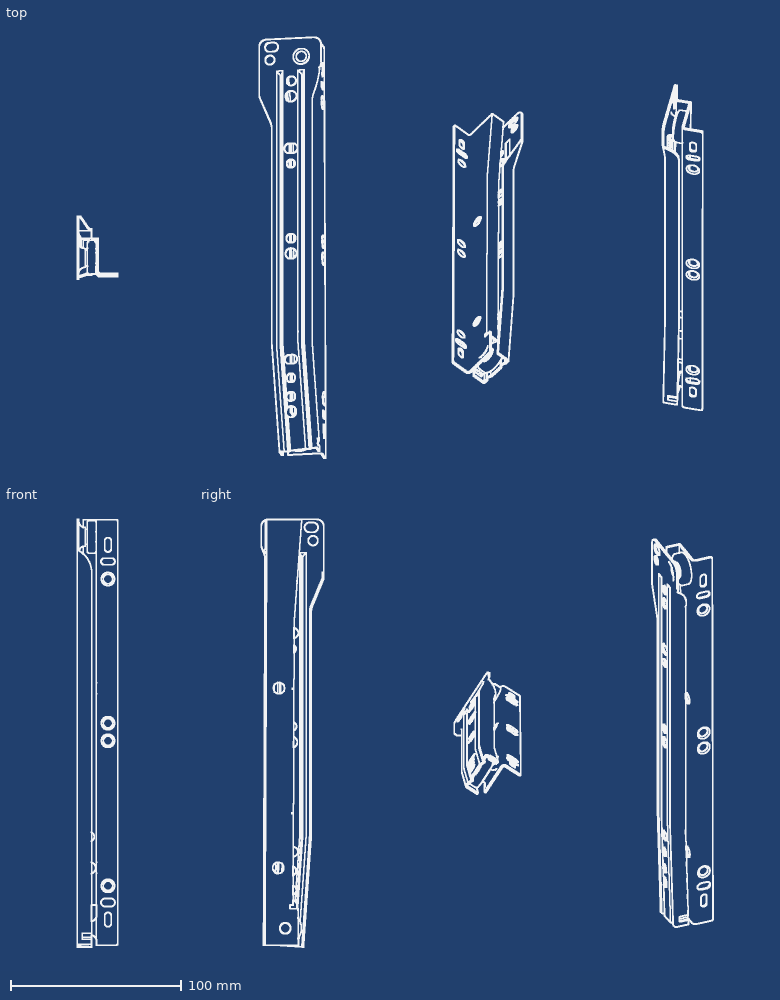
import cadquery as cq
import math

LENGTH = 251.0
DEPTH = 23.9
PLATE_WIDTH = 37.0
SHEET = 1.0

CHANNEL_DEPTH = 8.5
CHANNEL_LEFT = 11.0
CHANNEL_RIGHT = -11.8
CHANNEL_BEND = 1.0
KINK_Z = 65.8
KINK_ANGLE = 4.0
HEAD_CORNER = 4.3
LEFT_WING_TOP = 216.5
RIGHT_WING_TOP = 235.3
WING_FALL = 17.8
WING_BEND = 10.0
RIGHT_TAPER_ARC = 15.0
RIGHT_TAPER_START = 219.7
LEFT_TAPER_START = 193.3
LEFT_TAPER_END = 220.0
HEAD_BOTTOM = 190.8

BEAD_STARTS = (8.0, -4.8)
BEAD_LONG_SIDE = 2.0
BEAD_FLOOR = 0.8
BEAD_SHORT_SIDE = 1.0
BEAD_DEPTH = 1.0
BEAD_TOP = 231.5
BEAD_RUNOUT = 2.3

WEB_HOLES = (
    (11.0, 246.3, 7.8, 5.5),
    (12.0, 238.5, 5.5, 5.5),
    (-0.8, 225.2, 5.5, 5.5),
    (-0.5, 216.0, 6.5, 6.5),
    (-0.5, 184.3, 7.8, 6.0),
    (-0.5, 175.0, 5.0, 5.0),
    (-0.5, 129.5, 5.5, 5.5),
    (-0.5, 120.3, 6.5, 6.5),
    (-0.5, 56.0, 7.3, 5.5),
    (-0.5, 44.7, 4.8, 5.5),
    (-0.5, 33.5, 5.3, 5.5),
    (-0.5, 24.0, 6.3, 6.8),
)

DENT_TOP = 8.0
DENT_VALLEY = 5.8
DENT_BOTTOM = 4.5
DENT_DEPTH = 1.3
DENT_START = 3.0

WEB_X = 11.3
ANGLE_RIGHT = -16.5
ANGLE_LEFT = 0.8
ANGLE_BOTTOM = 1.0
ANGLE_TOP = 250.8
ANGLE_BEND = 2.3
FLANGE_CORNER = 1.0
ANGLE_LEAN = 0.23
RUN_DEPTH = 8.8
FLARE_Z = 191.3
FLARE_ANGLE = 4.0
RUN_BOTTOM = 24.5
RELIEF_BOTTOM = 22.5
RELIEF_DEPTH = 1.8
FOOT_LEFT = 3.8

MOUNT_X = 18.0
SCREW_HEIGHTS = (216.0, 131.3, 121.0, 36.0)
SCREW_DIAMETER = 5.5
SINK_DIAMETER = 7.8
SLOTS = ((236.0, 3.8, 8.3), (226.2, 8.0, 3.8), (26.0, 8.0, 4.5), (16.0, 3.8, 8.3))

ANGLE_HOLE_Y = -8.0
ANGLE_HOLE_HEIGHTS = (152.0, 46.5)
ANGLE_HOLE_DIAMETER = 6.5
BUMPS = ((7.3, 64.8, 2.8), (7.3, 46.5, 3.5))
BUMP_HEIGHT = 1.3

CUP_DEPTH = 3.8
UPPER_CUP_TIP = 5.5
LOWER_CUP_TIP = 4.0
CUP_FLARE = 3.3
FLARE_MID_DEPTH = 0.4
FLARE_MID_WIDTH = 0.2
CUP_WALL = 0.8
PIN_RADIUS = 3.0
COLLAR_RADIUS = 4.5
ROLLER_RADIUS = 9.5
ROLLER_WIDTH = 5.0
ROLLER_ROUND = 0.8
UPPER_PIN = (-6.0, 240.8)
LOWER_PIN = (-4.3, 11.0)
UPPER_COLLAR = 1.3
LOWER_COLLAR = 0.3

DIAGONAL = math.sqrt(0.5)

half_width = PLATE_WIDTH / 2
kink = math.radians(KINK_ANGLE)


def yz_prism(points, x_start, x_end):
    """Straight-sided prism along X over a (y, z) outline."""
    return cq.Workplane("YZ", origin=(x_start, 0, 0)).polyline(points).close().extrude(x_end - x_start)


def long_hole(plane, origin, width, height, depth):
    """Round hole, or slot along its longer side, cut symmetrically about its plane."""
    tool = cq.Workplane(plane, origin=origin)
    if width > height:
        tool = tool.slot2D(width, height)
    elif height > width:
        tool = tool.slot2D(height, width, 90)
    else:
        tool = tool.circle(width / 2)
    return tool.extrude(depth, both=True)


def pin_plane(pin_place, x, direction):
    """Plane through a pin axis, with its first direction along the axis."""
    y, z = pin_place
    return cq.Workplane(cq.Plane(origin=(x, y, z), xDir=(direction, 0, 0), normal=(0, 0, 1)))


def turned(profile, pin_place, x, direction):
    """Revolve an (along, radius) outline about the X-parallel axis of a pin."""
    return pin_plane(pin_place, x, direction).polyline(profile).close().revolve(360, (0, 0), (1, 0))


def bead_section(start, x):
    floor_start = start - BEAD_LONG_SIDE
    floor_end = floor_start - BEAD_FLOOR
    return [(x, start), (x + BEAD_DEPTH, floor_start), (x + BEAD_DEPTH, floor_end),
            (x, floor_end - BEAD_SHORT_SIDE)]


def bead_end(start, x):
    """Upper stretch of a bead within the head, cut off by a slope."""
    bead = cq.Workplane("XY", origin=(0, 0, HEAD_BOTTOM)).polyline(bead_section(start, x)).close()
    bead = bead.extrude(BEAD_TOP - HEAD_BOTTOM)
    waste = cq.Workplane("XZ").polyline(
        [(x, BEAD_TOP), (x + BEAD_DEPTH, BEAD_TOP - BEAD_RUNOUT), (x + BEAD_DEPTH, BEAD_TOP)])
    return bead.cut(waste.close().extrude(half_width, both=True))


def channel_section():
    """U-shaped section with rounded outer corners and both beads in its web."""
    outer = cq.Sketch().polygon([
        (0, CHANNEL_LEFT), (CHANNEL_DEPTH, CHANNEL_LEFT), (CHANNEL_DEPTH, CHANNEL_RIGHT),
        (0, CHANNEL_RIGHT), (0, CHANNEL_LEFT),
    ]).vertices("<X").fillet(CHANNEL_BEND).reset()
    inner = [(SHEET, CHANNEL_LEFT - SHEET), (CHANNEL_DEPTH, CHANNEL_LEFT - SHEET),
             (CHANNEL_DEPTH, CHANNEL_RIGHT + SHEET), (SHEET, CHANNEL_RIGHT + SHEET)]
    section = outer.polygon(inner + inner[:1], mode="s")
    for start in BEAD_STARTS:
        ridge = bead_section(start, SHEET)
        groove = bead_section(start, 0)
        section = section.polygon(ridge + ridge[:1]).polygon(groove + groove[:1], mode="s")
    return section


def channel_body():
    """Section carried down the rail, leaning to -Y below the kink."""
    lower_length = (KINK_Z - CHANNEL_LEFT * math.sin(kink)) / math.cos(kink)
    end = (-lower_length * math.sin(kink), KINK_Z - lower_length * math.cos(kink))
    path = cq.Workplane("YZ").moveTo(0, HEAD_BOTTOM).lineTo(0, KINK_Z).lineTo(*end)
    start = cq.Workplane("XY", origin=(0, 0, HEAD_BOTTOM))
    return start.placeSketch(channel_section()).sweep(path, transition="right")


def head_outline(inset):
    """Outline of the wide head, its lower sides moved inward by the inset."""
    return [
        (half_width - inset, LENGTH), (-half_width + inset, LENGTH),
        (-half_width + inset, RIGHT_WING_TOP), (CHANNEL_RIGHT + inset, RIGHT_WING_TOP - WING_FALL),
        (CHANNEL_RIGHT + inset, HEAD_BOTTOM), (CHANNEL_LEFT - inset, HEAD_BOTTOM),
        (CHANNEL_LEFT - inset, LEFT_WING_TOP - WING_FALL), (half_width - inset, LEFT_WING_TOP),
    ]


def head_prism(inset, x_start):
    """Head outline extruded to the flange ends, with a round bend below each wing."""
    prism = yz_prism(head_outline(inset), x_start, CHANNEL_DEPTH)
    for side, wing_top in ((CHANNEL_LEFT - inset, LEFT_WING_TOP), (CHANNEL_RIGHT + inset, RIGHT_WING_TOP)):
        corner = cq.selectors.NearestToPointSelector((CHANNEL_DEPTH / 2, side, wing_top - WING_FALL))
        prism = prism.edges("|X").edges(corner).fillet(WING_BEND)
    return prism


def right_wing_clearance():
    """Space above the -Y sloping flange, whose free edge runs to the plate in an arc."""
    centre_x = CHANNEL_DEPTH - RIGHT_TAPER_ARC
    sweep = math.acos((SHEET - centre_x) / RIGHT_TAPER_ARC)
    rise = RIGHT_TAPER_ARC * math.sin(sweep)
    middle = (centre_x + RIGHT_TAPER_ARC * math.cos(sweep / 2),
              RIGHT_TAPER_START + RIGHT_TAPER_ARC * math.sin(sweep / 2))
    profile = cq.Workplane("XZ").moveTo(CHANNEL_DEPTH, RIGHT_TAPER_START)
    profile = profile.threePointArc(middle, (SHEET, RIGHT_TAPER_START + rise))
    return profile.lineTo(SHEET, LENGTH).lineTo(CHANNEL_DEPTH, LENGTH).close().extrude(half_width)


def left_wing_clearance():
    """Space above the +Y sloping flange, whose free edge runs straight to the plate."""
    profile = cq.Workplane("XZ").polyline([
        (CHANNEL_DEPTH, LEFT_TAPER_START), (SHEET, LEFT_TAPER_END), (SHEET, LENGTH), (CHANNEL_DEPTH, LENGTH),
    ])
    return profile.close().extrude(-half_width)


def flange_bends():
    """Selects the web edges that run below the top of each wing."""
    reach = CHANNEL_BEND / 2
    left = cq.selectors.BoxSelector((-reach, 0, 0), (reach, half_width - reach, LEFT_WING_TOP))
    right = cq.selectors.BoxSelector((-reach, reach - half_width, 0), (reach, 0, RIGHT_WING_TOP))
    ends = cq.selectors.DirectionMinMaxSelector(cq.Vector(0, 0, 1), False)
    return left + right - ends


def channel_head():
    head = head_prism(0, 0)
    head = head.edges("|X").edges(">Z").fillet(HEAD_CORNER)
    head = head.edges(flange_bends()).fillet(CHANNEL_BEND)
    head = head.cut(head_prism(SHEET, SHEET))
    head = head.cut(left_wing_clearance()).cut(right_wing_clearance())
    for start in BEAD_STARTS:
        head = head.union(bead_end(start, SHEET)).cut(bead_end(start, 0))
    return head


def flange_dent(inset):
    """V-shaped bar along the -Y flange, which leans below the kink."""
    def surface(z):
        return CHANNEL_RIGHT / math.cos(kink) - (KINK_Z - z) * math.tan(kink) + inset
    outline = [(surface(DENT_TOP), DENT_TOP), (surface(DENT_VALLEY) + DENT_DEPTH, DENT_VALLEY),
               (surface(DENT_BOTTOM), DENT_BOTTOM)]
    return yz_prism(outline, DENT_START, CHANNEL_DEPTH)


def make_channel_rail():
    rail = channel_body().union(channel_head())
    for y, z, width, height in WEB_HOLES:
        rail = rail.cut(long_hole("YZ", (0, y, z), width, height, SHEET + BEAD_DEPTH))
    rail = rail.union(flange_dent(SHEET)).cut(flange_dent(0))
    return add_cup(rail, UPPER_PIN, 0, 1, UPPER_CUP_TIP)


def cup_body(start, end, end_radius, pin_place, x, direction):
    """Round plug that widens in an arc towards its start."""
    middle = (start + FLARE_MID_DEPTH * (end - start), end_radius + FLARE_MID_WIDTH * CUP_FLARE)
    profile = pin_plane(pin_place, x, direction).moveTo(start, 0).lineTo(start, end_radius + CUP_FLARE)
    profile = profile.threePointArc(middle, (end, end_radius)).lineTo(end, 0).close()
    return profile.revolve(360, (0, 0), (1, 0))


def add_cup(rail, pin_place, x, direction, tip_radius):
    """Press a flared cup into a web; x is the open face, direction is where the cup points."""
    tip = CUP_DEPTH + SHEET
    place = (pin_place, x, direction)
    shell = cup_body(SHEET, tip, tip_radius, *place)
    hollow = cup_body(0, CUP_DEPTH, tip_radius - CUP_WALL, *place)
    patch_radius = tip_radius + CUP_FLARE
    web_patch = turned([(0, 0), (0, patch_radius), (SHEET, patch_radius), (SHEET, 0)], *place)
    bore = turned([(0, 0), (0, PIN_RADIUS), (tip, PIN_RADIUS), (tip, 0)], *place)
    return rail.union(web_patch).union(shell).cut(hollow).cut(bore)


def make_pin(pin_place, x, direction, collar):
    """Pin from the cup floor through a collar to the far face of its roller."""
    collar_start = CUP_DEPTH + SHEET
    collar_end = collar_start + collar
    end = collar_end + ROLLER_WIDTH
    return turned([
        (CUP_DEPTH, 0), (CUP_DEPTH, PIN_RADIUS), (collar_start, PIN_RADIUS), (collar_start, COLLAR_RADIUS),
        (collar_end, COLLAR_RADIUS), (collar_end, PIN_RADIUS), (end, PIN_RADIUS), (end, 0),
    ], pin_place, x, direction)


def make_roller(pin_place, x, direction, collar):
    start = CUP_DEPTH + SHEET + collar
    end = start + ROLLER_WIDTH
    roller = turned([(start, PIN_RADIUS), (start, ROLLER_RADIUS), (end, ROLLER_RADIUS), (end, PIN_RADIUS)],
                    pin_place, x, direction)
    rims = cq.selectors.RadiusNthSelector(-1)
    return roller.edges("%CIRCLE").edges(rims).fillet(ROLLER_ROUND)


def run_edge(inset):
    """(y, z) points up the running flange, moved inward by the inset."""
    flare = (ANGLE_TOP - FLARE_Z) * math.tan(math.radians(FLARE_ANGLE))
    left = ANGLE_LEFT - inset
    return [(left, RUN_BOTTOM), (left, FLARE_Z), (left + flare, ANGLE_TOP)]


def angle_web():
    notch = ANGLE_LEFT - RELIEF_DEPTH
    bend_start = ANGLE_RIGHT + ANGLE_BEND
    outline = run_edge(0) + [
        (bend_start, ANGLE_TOP), (bend_start, ANGLE_BOTTOM), (FOOT_LEFT, ANGLE_BOTTOM),
        (FOOT_LEFT, RELIEF_BOTTOM), (notch, RELIEF_BOTTOM), (notch, RUN_BOTTOM),
    ]
    return yz_prism(outline, WEB_X, WEB_X + SHEET)


def running_flange():
    outline = run_edge(0) + run_edge(SHEET)[::-1]
    web_outer = WEB_X + SHEET
    return yz_prism(outline, web_outer - RUN_DEPTH, web_outer)


def mounting_flange():
    """Flange to +X with the rounded bend that joins it to the web."""
    bend_x = WEB_X + ANGLE_BEND
    bend_y = ANGLE_RIGHT + ANGLE_BEND
    inner = ANGLE_BEND - SHEET
    section = (
        cq.Workplane("XY", origin=(0, 0, ANGLE_BOTTOM))
        .moveTo(WEB_X, bend_y)
        .threePointArc((bend_x - ANGLE_BEND * DIAGONAL, bend_y - ANGLE_BEND * DIAGONAL),
                       (bend_x, ANGLE_RIGHT))
        .lineTo(DEPTH, ANGLE_RIGHT)
        .lineTo(DEPTH, ANGLE_RIGHT + SHEET)
        .lineTo(bend_x, ANGLE_RIGHT + SHEET)
        .threePointArc((bend_x - inner * DIAGONAL, bend_y - inner * DIAGONAL), (WEB_X + SHEET, bend_y))
        .close()
    )
    flange = section.extrude(ANGLE_TOP - ANGLE_BOTTOM)
    return flange.edges("|Y and >X").fillet(FLANGE_CORNER)


def screw_hole(z):
    """Through hole, countersunk from the -Y face of the mounting flange."""
    profile = [(0, 0), (SINK_DIAMETER / 2, 0), (SCREW_DIAMETER / 2, SHEET), (0, SHEET)]
    tool = cq.Workplane("XY", origin=(MOUNT_X, ANGLE_RIGHT, z)).polyline(profile).close()
    return tool.revolve(360, (0, 0), (0, 1))


def stop_bump(x, z, radius):
    """Shallow dome on the inner face of the running flange."""
    face = ANGLE_LEFT - SHEET
    tool = cq.Workplane("XY", origin=(x, face, z)).moveTo(0, 0).lineTo(radius, 0)
    sphere = (radius**2 + BUMP_HEIGHT**2) / (2 * BUMP_HEIGHT)
    half_angle = math.asin(radius / sphere) / 2
    middle = (sphere * math.sin(half_angle), sphere - BUMP_HEIGHT - sphere * math.cos(half_angle))
    return tool.threePointArc(middle, (0, -BUMP_HEIGHT)).close().revolve(360, (0, 0), (0, 1))


def make_angle_rail():
    rail = angle_web().union(running_flange()).union(mounting_flange())
    for bump in BUMPS:
        rail = rail.union(stop_bump(*bump))
    for z in SCREW_HEIGHTS:
        rail = rail.cut(screw_hole(z))
    for z, width, height in SLOTS:
        rail = rail.cut(long_hole("XZ", (MOUNT_X, ANGLE_RIGHT, z), width, height, 2 * SHEET))
    for z in ANGLE_HOLE_HEIGHTS:
        diameter = ANGLE_HOLE_DIAMETER
        rail = rail.cut(long_hole("YZ", (WEB_X, ANGLE_HOLE_Y, z), diameter, diameter, 2 * SHEET))
    rail = rail.rotate((0, 0, LENGTH / 2), (1, 0, LENGTH / 2), -ANGLE_LEAN)
    return add_cup(rail, LOWER_PIN, WEB_X + SHEET, -1, LOWER_CUP_TIP)


channel_rail = make_channel_rail()
angle_rail = make_angle_rail()
mounts = ((UPPER_PIN, 0, 1, UPPER_COLLAR), (LOWER_PIN, WEB_X + SHEET, -1, LOWER_COLLAR))
pins = [make_pin(*mount).val() for mount in mounts]
rollers = [make_roller(*mount).val() for mount in mounts]

result = cq.Compound.makeCompound([channel_rail.val(), angle_rail.val(), *pins, *rollers])